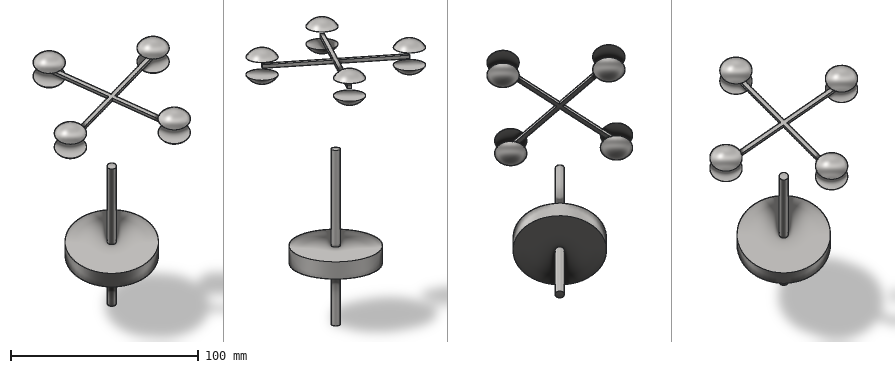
import cadquery as cq
import math

total_height = 160.0

rod_diameter = 5.0
rod_length = 100.0
disc_diameter = 50.0
disc_thickness = 10.0
disc_mid_height = 40.0

arm_length = 80.0
arm_width = 2.4
arm_thickness = 2.0

ball_diameter = 20.0
ball_radius = ball_diameter / 2
cap_gap = ball_radius
cap_height = ball_radius - cap_gap / 2
cap_rim_radius = math.sqrt(ball_radius**2 - (cap_gap / 2) ** 2)

cross_height = total_height - ball_radius
ball_offset = arm_length / 2
arm_count = 4


def make_spindle():
    """Rod and disc as one solid on the Z axis."""
    rod = cq.Workplane("XY").circle(rod_diameter / 2).extrude(rod_length)
    disc = (
        cq.Workplane("XY")
        .workplane(offset=disc_mid_height - disc_thickness / 2)
        .circle(disc_diameter / 2)
        .extrude(disc_thickness)
    )
    return rod.union(disc)


def make_cross():
    """Two perpendicular arms crossing on the Z axis."""
    arm_x = cq.Workplane("XY").box(arm_length, arm_width, arm_thickness)
    arm_y = cq.Workplane("XY").box(arm_width, arm_length, arm_thickness)
    return arm_x.union(arm_y).translate((0, 0, cross_height))


def make_cap():
    """Upper spherical cap, placed relative to its ball centre at the origin."""
    base_z = cap_gap / 2
    mid_angle = (math.asin(base_z / ball_radius) + math.pi / 2) / 2
    arc_middle = (ball_radius * math.cos(mid_angle), ball_radius * math.sin(mid_angle))
    return (
        cq.Workplane("XZ")
        .moveTo(0, base_z)
        .lineTo(cap_rim_radius, base_z)
        .threePointArc(arc_middle, (0, base_z + cap_height))
        .close()
        .revolve(360, (0, 0, 0), (0, 1, 0))
    )


def make_caps():
    """An upper and a lower cap at each arm end, as separate solids."""
    upper_cap = make_cap()
    lower_cap = upper_cap.mirror("XY")
    solids = []
    for index in range(arm_count):
        angle = 2 * math.pi * index / arm_count
        x = ball_offset * math.cos(angle)
        y = ball_offset * math.sin(angle)
        for cap in (upper_cap, lower_cap):
            solids.append(cap.translate((x, y, cross_height)).val())
    return solids


spindle = make_spindle()
cross = make_cross()
caps = make_caps()

result = cq.Compound.makeCompound([spindle.val(), cross.val(), *caps])